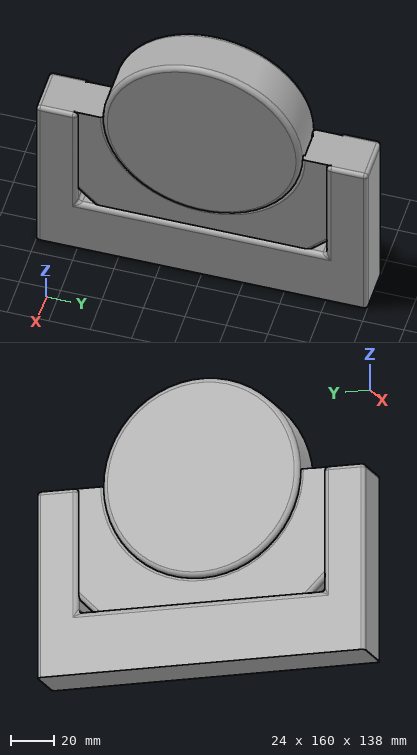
import cadquery as cq
frame_length = 160.0
frame_thickness = 24.0
outer_round = 2.0

window_width = 120.0
window_depth = window_width / 2
window_floor = window_depth / 2
frame_height = window_floor + window_depth
window_round = 2.4
window_corner_round = 2.0
rim_half_width = window_width / 2 + window_round
rim_bottom = window_floor - window_round
web_recess = 2.0
web_thickness = frame_thickness - 2 * web_recess

corner_leg = 6.7
corner_opening_round = 2.4

disc_radius = 48.0
disc_round = 2.4
seat_round = 1.5
seat_groove_depth = 0.6
seat_groove_width = 14.0


def edges_within(half_width, bottom, top):
    """Selector for edges whose centres lie in a Y-symmetric band of heights."""
    return cq.selectors.BoxSelector(
        (-frame_thickness, -half_width, bottom),
        (frame_thickness, half_width, top),
    )


def make_surround():
    """U-shaped border with rounded window edges and outer edges."""
    block = cq.Workplane("XY").box(
        frame_thickness, frame_length, frame_height, centered=(True, True, False)
    )
    window = cq.Workplane("XY", origin=(0, 0, window_floor)).box(
        frame_thickness, window_width, window_depth, centered=(True, True, False)
    )
    surround = block.cut(window)

    window_rim = edges_within(rim_half_width, rim_bottom, frame_height - window_round)
    surround = surround.edges(window_rim).edges("<X or >X").fillet(window_round)
    lower_corners = edges_within(rim_half_width, rim_bottom, window_floor + window_round)
    surround = surround.edges(lower_corners).edges("|X").fillet(window_corner_round)

    return surround.faces("<Y or >Y or >Z").edges("not <Z").fillet(outer_round)


def make_web():
    """Plate across the window, with rounded edges on its cut-off lower corners.

    Its sides are let into the arms by the outer round, so that the flat top of
    the web runs on into the flat arm tops.
    """
    half_width = window_width / 2
    buried_half_width = half_width + outer_round
    buried_leg = corner_leg + outer_round
    web = (
        cq.Workplane("YZ", origin=(-web_thickness / 2, 0, 0))
        .moveTo(-buried_half_width, frame_height)
        .lineTo(-buried_half_width, window_floor + buried_leg)
        .lineTo(-half_width + buried_leg, window_floor - outer_round)
        .lineTo(half_width - buried_leg, window_floor - outer_round)
        .lineTo(buried_half_width, window_floor + buried_leg)
        .lineTo(buried_half_width, frame_height)
        .close()
        .extrude(web_thickness)
    )
    slanted_edges = web.edges("<X or >X").edges("not (|Y or |Z)")
    return slanted_edges.fillet(corner_opening_round)


def make_cylinder(radius, thickness):
    """Plain cylinder along X, centred on the top face of the frame."""
    return (
        cq.Workplane("YZ", origin=(-thickness / 2, 0, frame_height))
        .circle(radius)
        .extrude(thickness)
    )


def make_frame():
    """Surround and web in one piece, with a round-edged, grooved disc seat in the web."""
    seated_web = make_web().cut(make_cylinder(disc_radius, frame_thickness))
    seat_edges = seated_web.edges("%CIRCLE").edges("<X or >X")
    seated_web = seat_edges.fillet(seat_round)
    groove = make_cylinder(disc_radius + seat_groove_depth, seat_groove_width)
    return make_surround().union(seated_web.cut(groove))


def make_disc():
    """Round disc with rounded rims."""
    disc = make_cylinder(disc_radius, frame_thickness)
    return disc.faces("<X or >X").edges().fillet(disc_round)


frame = make_frame()
disc = make_disc()

result = cq.Compound.makeCompound([*frame.solids().vals(), disc.val()])